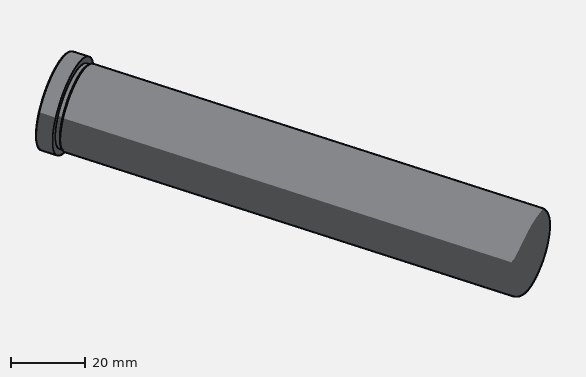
import cadquery as cq

total_length = 140.0
head_diameter = 28.0
head_thickness = 5.0
shank_diameter = 25.0
groove_diameter = 24.2
groove_floor_length = 1.3
head_chamfer = 0.3
tip_round_radius = 2.0

head_radius = head_diameter / 2
shank_radius = shank_diameter / 2
groove_radius = groove_diameter / 2
groove_end = head_thickness + groove_floor_length
shank_start = groove_end + shank_radius - groove_radius

profile = (
    cq.Workplane("XY")
    .moveTo(0, 0)
    .lineTo(0, head_radius - head_chamfer)
    .lineTo(head_chamfer, head_radius)
    .lineTo(head_thickness, head_radius)
    .lineTo(head_thickness, groove_radius)
    .lineTo(groove_end, groove_radius)
    .lineTo(shank_start, shank_radius)
    .lineTo(total_length - tip_round_radius, shank_radius)
    .radiusArc((total_length, shank_radius - tip_round_radius), tip_round_radius)
    .lineTo(total_length, 0)
    .close()
)
result = profile.revolve(360, (0, 0, 0), (1, 0, 0))